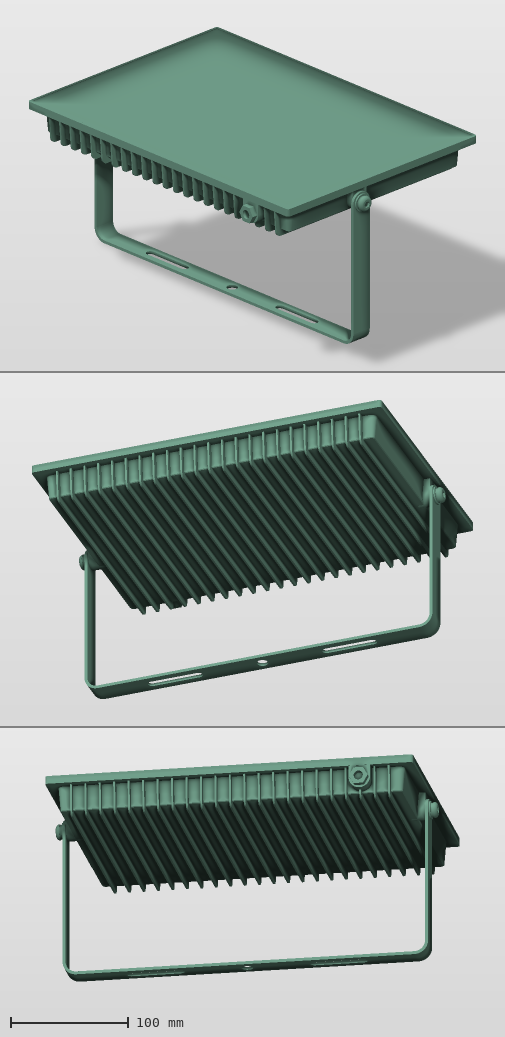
import cadquery as cq
import math


FRAME_LENGTH = 317.0
FRAME_WIDTH = 223.7
FRAME_HEIGHT = 7.0
FRAME_CORNER_RADIUS = 2.5
RIM_WIDTH = 2.5
GLASS_RECESS = 0.3

HOUSING_LENGTH = 298.7
HOUSING_WIDTH = 204.0
HOUSING_DEPTH = 21.5
HOUSING_CORNER_RADIUS = 5.0
HOUSING_TAPER = 5.0
HOUSING_BOTTOM_CHAMFER = 0.5

FIN_COUNT = 23
FIN_SPAN = 274.0
FIN_PITCH = FIN_SPAN / (FIN_COUNT - 1)
FIN_THICKNESS = 1.5
FIN_TOP_WIDTH = 214.5
FIN_BOTTOM_WIDTH = 210.0
FIN_DEPTH = 27.3
FIN_CORNER_RADIUS = 5.3

PIVOT_Y = -24.0
PIVOT_Z = -20.5
PIVOT_BOSS_RADIUS = 8.2
PIVOT_BOSS_LENGTH = 13.0

BRACKET_LENGTH = 315.2
BRACKET_WIDTH = 19.5
BRACKET_THICKNESS = 2.5
BRACKET_BOTTOM_Z = -152.0
BRACKET_BEND_RADIUS = 12.0
BRACKET_HOLE_DIAMETER = 10.0
SLOT_LENGTH = 49.5
SLOT_WIDTH = 7.5
SLOT_OFFSET = 79.0

OVERALL_LENGTH = 329.0
WASHER_RADIUS = 8.0
WASHER_THICKNESS = 1.3
NECK_RADIUS = 6.3
NECK_LENGTH = 2.3
HEAD_RADIUS = 7.0
HEAD_FACE_RADIUS = 4.5
HEAD_BULGE = 0.5
SOCKET_ACROSS_FLATS = 5.3
SOCKET_DEPTH = 2.3

GLAND_X = 112.5
GLAND_Z = -17.5
GLAND_BOSS_RADIUS = 9.2
GLAND_BOSS_LENGTH = 16.5
GLAND_BOSS_SETBACK = 0.3
NUT_ACROSS_FLATS = 14.0
NUT_THICKNESS = 5.3
GLAND_HOLE_DIAMETER = 8.0
GLAND_HOLE_DEPTH = 5.0

FRAME_BOTTOM_Z = -FRAME_HEIGHT


def hexagon_diameter(across_flats):
    """Corner-to-corner size of a hexagon."""
    return across_flats / math.cos(math.radians(30))


def make_frame():
    frame = (
        cq.Workplane("XY")
        .workplane(offset=FRAME_BOTTOM_Z)
        .rect(FRAME_LENGTH, FRAME_WIDTH)
        .extrude(FRAME_HEIGHT)
        .edges("|Z")
        .fillet(FRAME_CORNER_RADIUS)
    )
    recess = (
        cq.Workplane("XY")
        .rect(FRAME_LENGTH - 2 * RIM_WIDTH, FRAME_WIDTH - 2 * RIM_WIDTH)
        .extrude(-GLASS_RECESS)
    )
    return frame.cut(recess)


def make_housing():
    outline = cq.Sketch().rect(HOUSING_LENGTH, HOUSING_WIDTH).vertices().fillet(HOUSING_CORNER_RADIUS)
    return (
        cq.Workplane("XY")
        .workplane(offset=FRAME_BOTTOM_Z)
        .placeSketch(outline)
        .extrude(-HOUSING_DEPTH, taper=HOUSING_TAPER)
        .faces("<Z")
        .chamfer(HOUSING_BOTTOM_CHAMFER)
    )


def make_fins():
    fin_bottom_z = FRAME_BOTTOM_Z - FIN_DEPTH
    fin = (
        cq.Workplane("YZ")
        .polyline(
            [
                (-FIN_TOP_WIDTH / 2, FRAME_BOTTOM_Z),
                (FIN_TOP_WIDTH / 2, FRAME_BOTTOM_Z),
                (FIN_BOTTOM_WIDTH / 2, fin_bottom_z),
                (-FIN_BOTTOM_WIDTH / 2, fin_bottom_z),
            ]
        )
        .close()
        .extrude(FIN_THICKNESS / 2, both=True)
        .edges("|X and <Z")
        .fillet(FIN_CORNER_RADIUS)
    )
    positions = cq.Workplane("XY").rarray(FIN_PITCH, 3.3, FIN_COUNT, 1)
    return positions.eachpoint(fin.val(), combine="a")


def make_rounded_boss(plane, center, radius, length):
    """Boss hanging from the frame, with a half-round lower end."""
    across, height = center
    return (
        cq.Workplane(plane)
        .moveTo(across - radius, FRAME_BOTTOM_Z)
        .lineTo(across - radius, height)
        .threePointArc((across, height - radius), (across + radius, height))
        .lineTo(across + radius, FRAME_BOTTOM_Z)
        .close()
        .extrude(length)
    )


def make_bracket():
    half_length = BRACKET_LENGTH / 2
    half_width = BRACKET_WIDTH / 2
    inner_radius = BRACKET_BEND_RADIUS - BRACKET_THICKNESS
    leg_top_z = PIVOT_Z + half_width

    def u_block(half_size, bottom_z, bend_radius):
        return (
            cq.Workplane("XY", origin=(0, PIVOT_Y, bottom_z))
            .rect(2 * half_size, BRACKET_WIDTH)
            .extrude(leg_top_z - bottom_z)
            .edges("|Y and <Z")
            .fillet(bend_radius)
        )

    outer = u_block(half_length, BRACKET_BOTTOM_Z, BRACKET_BEND_RADIUS)
    inner = u_block(half_length - BRACKET_THICKNESS, BRACKET_BOTTOM_Z + BRACKET_THICKNESS, inner_radius)
    rounded_legs = (
        cq.Workplane("YZ")
        .moveTo(PIVOT_Y - half_width, BRACKET_BOTTOM_Z)
        .lineTo(PIVOT_Y - half_width, PIVOT_Z)
        .threePointArc((PIVOT_Y, leg_top_z), (PIVOT_Y + half_width, PIVOT_Z))
        .lineTo(PIVOT_Y + half_width, BRACKET_BOTTOM_Z)
        .close()
        .extrude(half_length, both=True)
    )
    base = cq.Workplane("XY", origin=(0, PIVOT_Y, BRACKET_BOTTOM_Z))
    hole = base.circle(BRACKET_HOLE_DIAMETER / 2).extrude(BRACKET_THICKNESS)
    slots = (
        base.pushPoints([(-SLOT_OFFSET, 0), (SLOT_OFFSET, 0)])
        .slot2D(SLOT_LENGTH, SLOT_WIDTH)
        .extrude(BRACKET_THICKNESS)
    )
    return outer.cut(inner).intersect(rounded_legs).cut(hole).cut(slots)


def make_pivot():
    """Housing boss and bolt on the +X side."""
    leg_outer_x = BRACKET_LENGTH / 2
    leg_inner_x = leg_outer_x - BRACKET_THICKNESS
    boss = make_rounded_boss("YZ", (PIVOT_Y, PIVOT_Z), PIVOT_BOSS_RADIUS, PIVOT_BOSS_LENGTH)
    boss = boss.translate((leg_inner_x - PIVOT_BOSS_LENGTH, 0, 0))

    washer_x = leg_outer_x + WASHER_THICKNESS
    neck_x = washer_x + NECK_LENGTH
    head_x = OVERALL_LENGTH / 2
    bolt = (
        cq.Workplane("XY")
        .moveTo(leg_outer_x, 0)
        .lineTo(leg_outer_x, WASHER_RADIUS)
        .lineTo(washer_x, WASHER_RADIUS)
        .lineTo(washer_x, NECK_RADIUS)
        .lineTo(neck_x, NECK_RADIUS)
        .lineTo(neck_x, HEAD_RADIUS)
        .sagittaArc((head_x, HEAD_FACE_RADIUS), HEAD_BULGE)
        .lineTo(head_x, 0)
        .close()
        .revolve(360, (0, 0, 0), (1, 0, 0))
        .translate((0, PIVOT_Y, PIVOT_Z))
    )
    socket = (
        cq.Workplane("YZ", origin=(head_x, PIVOT_Y, PIVOT_Z))
        .polygon(6, hexagon_diameter(SOCKET_ACROSS_FLATS))
        .extrude(-SOCKET_DEPTH)
    )
    return boss.union(bolt).cut(socket)


def make_gland():
    boss_face_y = GLAND_BOSS_SETBACK - FRAME_WIDTH / 2
    nut_face_y = boss_face_y - NUT_THICKNESS
    boss = make_rounded_boss("XZ", (GLAND_X, GLAND_Z), GLAND_BOSS_RADIUS, GLAND_BOSS_LENGTH)
    boss = boss.translate((0, boss_face_y + GLAND_BOSS_LENGTH, 0))
    nut = (
        cq.Workplane("XZ", origin=(GLAND_X, boss_face_y, GLAND_Z))
        .polygon(6, hexagon_diameter(NUT_ACROSS_FLATS))
        .extrude(NUT_THICKNESS)
    )
    hole = (
        cq.Workplane("XZ", origin=(GLAND_X, nut_face_y, GLAND_Z))
        .circle(GLAND_HOLE_DIAMETER / 2)
        .extrude(-GLAND_HOLE_DEPTH)
    )
    return boss.union(nut).cut(hole)


pivot = make_pivot()
result = (
    make_frame()
    .union(make_housing())
    .union(make_fins())
    .union(make_bracket())
    .union(pivot)
    .union(pivot.mirror("YZ"))
    .union(make_gland())
)